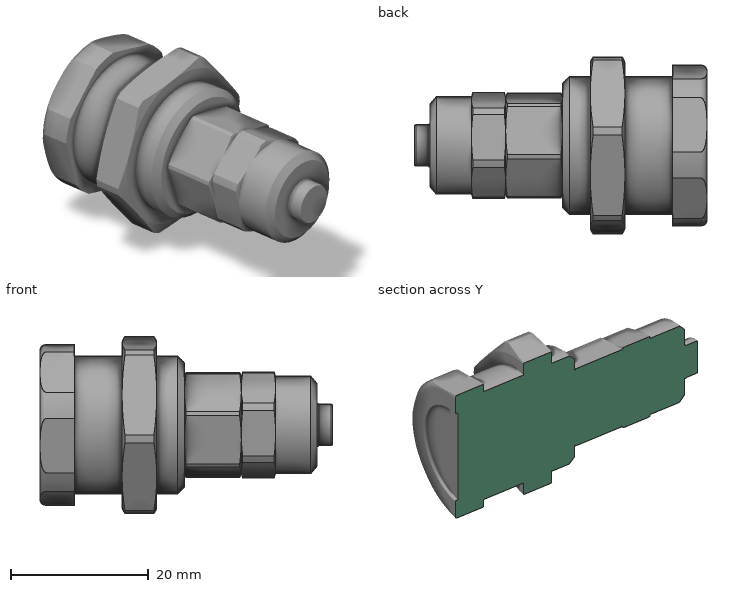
import cadquery as cq
import math

TOTAL_LENGTH = 42.5


HEAD_LENGTH = 5.0
HEAD_FLATS = 22.0
HEAD_CORNER_DIAMETER = 23.5
HEAD_FACE_FILLET = 1.0
HEAD_TURN = -14.2
RECESS_DIAMETER = 16.0
RECESS_DEPTH = 0.5
RECESS_RIM_CHAMFER = 0.13

BODY_DIAMETER = 20.0
BODY_END = 21.0
BODY_CHAMFER = 1.0

NUT_START = 11.95
NUT_LENGTH = 5.0
NUT_FLATS = 24.0
NUT_CORNER_DIAMETER = 27.07
NUT_TURN = 8.8

ADAPTER_END = 29.25
ADAPTER_FLATS = 14.0
ADAPTER_CORNER_DIAMETER = 15.8
ADAPTER_TURN = -12.0

CLAMP_HEX_END = 34.2
CLAMP_FLATS = 14.0
CLAMP_CORNER_DIAMETER = 15.5
CLAMP_TURN = -20.0
SLEEVE_DIAMETER = 14.15
SLEEVE_END = 40.25
SLEEVE_END_DIAMETER = 12.0
SLEEVE_CHAMFER_LENGTH = 0.95

TUBE_DIAMETER = 6.05
TUBE_TAPER_LENGTH = 0.25
TUBE_TAPER_DEPTH = 0.13

HEX_CHAMFER_ANGLE = 15.0


def cylinder(start, end, diameter):
    """Round bar along X between two stations."""
    return cq.Workplane("YZ", origin=(start, 0, 0)).circle(diameter / 2).extrude(end - start)


def hex_bar(start, end, flats, turn):
    """Hexagonal bar along X, with a corner on +Y before it is turned about X (degrees)."""
    corner_to_corner = flats / math.cos(math.pi / 6)
    bar = cq.Workplane("YZ", origin=(start, 0, 0)).polygon(6, corner_to_corner).extrude(end - start)
    return bar.rotate((0, 0, 0), (1, 0, 0), turn)


def turned(profile):
    """Solid of revolution about X from (x, radius) points."""
    return cq.Workplane("XY").polyline(profile).close().revolve(360, (0, 0, 0), (1, 0, 0))


def chamfered_hex(start, end, flats, corner_diameter, turn):
    """Hexagon with turned corners and conical chamfers that meet the flats at both faces."""
    face_radius = flats / 2
    corner_radius = corner_diameter / 2
    chamfer = (corner_radius - face_radius) * math.tan(math.radians(HEX_CHAMFER_ANGLE))
    envelope = turned([
        (start, 0),
        (start, face_radius),
        (start + chamfer, corner_radius),
        (end - chamfer, corner_radius),
        (end, face_radius),
        (end, 0),
    ])
    return hex_bar(start, end, flats, turn).intersect(envelope)


def head():
    envelope = cylinder(0, HEAD_LENGTH, HEAD_CORNER_DIAMETER).faces("<X").edges().fillet(HEAD_FACE_FILLET)
    return hex_bar(0, HEAD_LENGTH, HEAD_FLATS, HEAD_TURN).intersect(envelope)


def recess():
    radius = RECESS_DIAMETER / 2
    return turned([
        (0, 0),
        (0, radius + RECESS_RIM_CHAMFER),
        (RECESS_RIM_CHAMFER, radius),
        (RECESS_DEPTH, radius),
        (RECESS_DEPTH, 0),
    ])


def body():
    return cylinder(HEAD_LENGTH, BODY_END, BODY_DIAMETER).faces(">X").chamfer(BODY_CHAMFER)


def sleeve():
    return turned([
        (CLAMP_HEX_END, 0),
        (CLAMP_HEX_END, SLEEVE_DIAMETER / 2),
        (SLEEVE_END - SLEEVE_CHAMFER_LENGTH, SLEEVE_DIAMETER / 2),
        (SLEEVE_END, SLEEVE_END_DIAMETER / 2),
        (SLEEVE_END, 0),
    ])


def tube_stub():
    """Stub that flares where it leaves the sleeve and tapers at its free end."""
    radius = TUBE_DIAMETER / 2
    return turned([
        (SLEEVE_END, 0),
        (SLEEVE_END, radius + TUBE_TAPER_DEPTH),
        (SLEEVE_END + TUBE_TAPER_LENGTH, radius),
        (TOTAL_LENGTH - TUBE_TAPER_LENGTH, radius),
        (TOTAL_LENGTH, radius - TUBE_TAPER_DEPTH),
        (TOTAL_LENGTH, 0),
    ])


lock_nut = chamfered_hex(NUT_START, NUT_START + NUT_LENGTH, NUT_FLATS, NUT_CORNER_DIAMETER, NUT_TURN)
adapter = chamfered_hex(BODY_END, ADAPTER_END, ADAPTER_FLATS, ADAPTER_CORNER_DIAMETER, ADAPTER_TURN)
clamp_hex = chamfered_hex(ADAPTER_END, CLAMP_HEX_END, CLAMP_FLATS, CLAMP_CORNER_DIAMETER, CLAMP_TURN)

result = head().cut(recess())
for section in (body(), lock_nut, adapter, clamp_hex, sleeve(), tube_stub()):
    result = result.union(section)